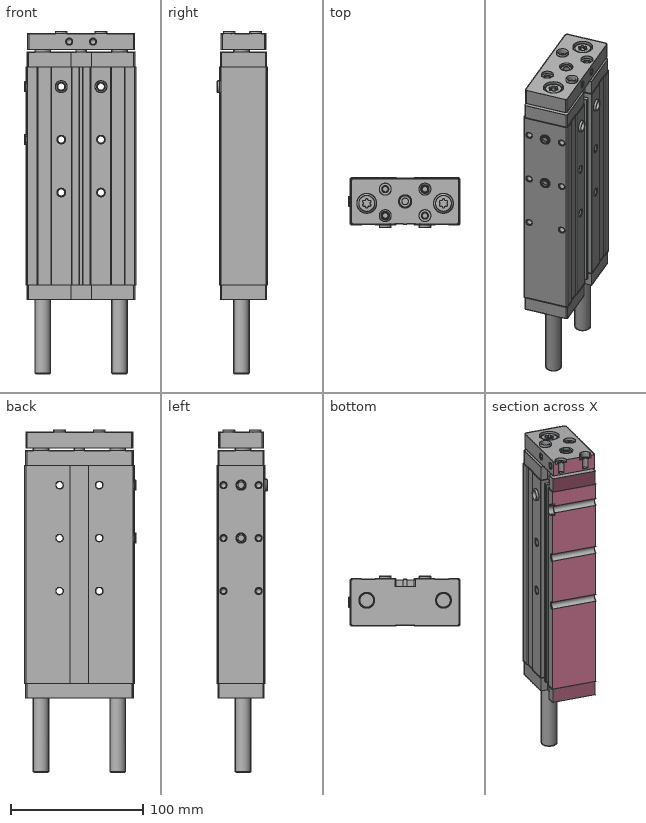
import cadquery as cq
import math


cap_height = 11.0
housing_height = 165.0
plate_gap = 2.0
plate_height = 12.0
rod_overhang = 56.0
housing_bottom = cap_height
housing_top = housing_bottom + housing_height
upper_cap_top = housing_top + cap_height
plate_bottom = upper_cap_top + plate_gap
plate_top = plate_bottom + plate_height

housing_width, housing_depth = 83.0, 36.0
cap_width, cap_depth = 81.5, 35.0
plate_width, plate_depth = 81.0, 34.0
edge_chamfer = 1.0
housing_front = -housing_depth / 2
housing_side = -housing_width / 2

cap_notch_width, cap_notch_depth = 15.5, 5.5
channel_width, channel_depth = 13.8, 7.0
channel_mouth_chamfer = 0.4
rib_width, rib_setback = 3.0, 0.6
rib_edge_chamfer = 0.4
back_channel_width, back_channel_depth = 14.0, 1.0
recess_inner_x, recess_outer_x = 22.3, 33.2
recess_depth = 1.0
recess_slope = 0.5

rod_diameter = 12.0
rod_spacing = 58.0
rod_y = -1.5
rod_end_chamfer = 0.8
rod_points = [(-rod_spacing / 2, rod_y), (rod_spacing / 2, rod_y)]
piston_rod_diameter = 8.0
head_well_diameter = 15.0
head_well_depth = 2.5
head_shoulder_diameter, head_shoulder_rise = 12.8, 1.2
head_top_diameter, head_rise = 12.0, 1.5
socket_core_diameter = 5.2
socket_lobe_diameter = 1.8
socket_lobes = 6
socket_depth = 2.0
piston_well_diameter = 10.0
piston_well_neck_diameter = 8.5
piston_well_depth = 2.0
piston_socket_diameter = 5.0
piston_socket_depth = 5.0

sleeve_diameter, sleeve_bore = 9.0, 6.5
sleeve_length, sleeve_projection = 4.0, 1.8
sleeve_seat_depth = sleeve_length - sleeve_projection
mount_x = 15.0
mount_hole_diameter = 5.3
mount_countersink_diameter = 6.5
mount_rows = 3
mount_pitch = 40.0
top_mount_z = housing_top - 15.0
mount_heights = [top_mount_z - row * mount_pitch for row in range(mount_rows)]
plate_hole_spacing_y = 20.0
plate_hole_y = -0.75
plate_back_y = plate_hole_y + plate_hole_spacing_y / 2
plate_front_y = plate_hole_y - plate_hole_spacing_y / 2

tapped_diameter = 4.13
tapped_mouth_diameter = 5.3
tapped_depth = 8.0
drill_tip_angle = 118.0
side_hole_y = 13.3
plate_side_hole_x = 9.0

plug_diameter = 7.7
plug_socket_diameter = 5.0
plug_socket_depth = 2.0
plug_projection = 1.29
plug_edge_chamfer = 0.4
plug_shank_diameter = 7.0
plug_length = 5.0
plug_heights = mount_heights[:2]


def block(width, depth, bottom, height):
    """Upright block centred on the piston axis, with chamfered upright edges."""
    body = cq.Workplane("XY", origin=(0, 0, bottom)).rect(width, depth).extrude(height)
    return body.edges("|Z").chamfer(edge_chamfer)


def box_between(x0, x1, y0, y1, z0, z1):
    """Box between two opposite corners."""
    return cq.Workplane("XY").box(x1 - x0, y1 - y0, z1 - z0, centered=False).translate((x0, y0, z0))


def axial_plane(origin, direction):
    """Plane holding the axis through origin along direction, with that axis as its local Y."""
    across = (0, 0, 1) if direction[2] == 0 else (-1, 0, 0)
    normal = cq.Vector(across).cross(cq.Vector(direction))
    return cq.Plane(origin=origin, xDir=across, normal=normal)


def revolved(profile, origin, direction):
    """Solid turned from (radius, height) points about the axis through origin along direction."""
    section = cq.Workplane(axial_plane(origin, direction)).polyline(profile).close()
    return section.revolve(360, (0, 0), (0, 1))


def rod(diameter, point, bottom, top):
    """Plain upright rod."""
    return cq.Workplane("XY", origin=(*point, bottom)).circle(diameter / 2).extrude(top - bottom)


def tapped_hole(origin, direction, pointed=True):
    """Cutter for a blind hole with a countersunk mouth and a drill tip or flat floor, along direction."""
    radius = tapped_diameter / 2
    mouth = tapped_mouth_diameter / 2
    tip = radius / math.tan(math.radians(drill_tip_angle / 2)) if pointed else 0
    profile = [
        (0, 0),
        (mouth, 0),
        (radius, mouth - radius),
        (radius, tapped_depth),
        (0, tapped_depth + tip),
    ]
    return revolved(profile, origin, direction)


def sleeve(origin, direction):
    """Locating sleeve standing out of the face at origin along direction."""
    outer, inner = sleeve_diameter / 2, sleeve_bore / 2
    end_radius = (outer - inner) / 2
    length = sleeve_length - end_radius
    section = cq.Workplane(axial_plane(origin, direction)).moveTo(inner, -sleeve_seat_depth)
    section = section.hLineTo(outer).vLine(length)
    crest = (outer - end_radius, sleeve_projection)
    section = section.threePointArc(crest, (inner, sleeve_projection - end_radius))
    return section.close().revolve(360, (0, 0), (0, 1))


def port_plug(height):
    """Stepped plug in the -X side: a chamfered, socketed head outside and a shank inside."""
    head, shank, hollow = plug_diameter / 2, plug_shank_diameter / 2, plug_socket_diameter / 2
    socket_floor = plug_projection - plug_socket_depth
    profile = [
        (0, -plug_length),
        (shank, -plug_length),
        (shank, 0),
        (head, 0),
        (head, plug_projection - plug_edge_chamfer),
        (head - plug_edge_chamfer, plug_projection),
        (hollow, plug_projection),
        (hollow, socket_floor),
        (0, socket_floor),
    ]
    return revolved(profile, (housing_side, 0, height), (-1, 0, 0))


def cap(bottom):
    """End cap with a central notch in its front and bores for the guide rods."""
    top = bottom + cap_height
    front = -cap_depth / 2
    half_notch = cap_notch_width / 2
    body = block(cap_width, cap_depth, bottom, cap_height)
    body = body.cut(box_between(-half_notch, half_notch, front, front + cap_notch_depth, bottom, top))
    for point in rod_points:
        body = body.cut(rod(rod_diameter, point, bottom, top))
    return body


def side_recess(side):
    """Shallow full-length recess in the housing front, with sloped flanks; side is -1 or 1."""
    floor = housing_front + recess_depth
    profile = [
        (side * recess_inner_x, housing_front),
        (side * (recess_inner_x + recess_slope), floor),
        (side * (recess_outer_x - recess_slope), floor),
        (side * recess_outer_x, housing_front),
    ]
    plane = cq.Workplane("XY", origin=(0, 0, housing_bottom))
    return plane.polyline(profile).close().extrude(housing_height)


def make_housing():
    body = block(housing_width, housing_depth, housing_bottom, housing_height)

    half_channel, half_rib, half_back = channel_width / 2, rib_width / 2, back_channel_width / 2
    span = (housing_bottom, housing_top)
    channel_floor = housing_front + channel_depth
    channel = box_between(-half_channel, half_channel, housing_front, channel_floor, *span)
    rib = box_between(-half_rib, half_rib, housing_front + rib_setback, channel_floor, *span)
    rib = rib.edges("|Z and <Y").chamfer(rib_edge_chamfer)
    body = body.cut(channel.cut(rib))
    for side in (-1, 1):
        mouth = [
            (side * half_channel, housing_front),
            (side * (half_channel + channel_mouth_chamfer), housing_front),
            (side * half_channel, housing_front + channel_mouth_chamfer),
        ]
        corner = cq.Workplane("XY", origin=(0, 0, housing_bottom)).polyline(mouth).close()
        body = body.cut(corner.extrude(housing_height))
    back = -housing_front
    body = body.cut(box_between(-half_back, half_back, back - back_channel_depth, back, *span))
    for side in (-1, 1):
        body = body.cut(side_recess(side))

    for point in rod_points:
        body = body.cut(rod(rod_diameter, point, *span))
    body = body.cut(rod(piston_rod_diameter, (0, 0), *span))

    hole, mouth = mount_hole_diameter / 2, mount_countersink_diameter / 2
    for height in mount_heights:
        for x in (-mount_x, mount_x):
            profile = [(0, 0), (mouth, 0), (hole, mouth - hole), (hole, housing_depth), (0, housing_depth)]
            body = body.cut(revolved(profile, (x, housing_front, height), (0, 1, 0)))
    for x in (-mount_x, mount_x):
        seat = cq.Workplane("XZ", origin=(x, housing_front, top_mount_z)).circle(sleeve_diameter / 2)
        body = body.cut(seat.extrude(-sleeve_seat_depth))

    for height in mount_heights:
        for y in (-side_hole_y, side_hole_y):
            body = body.cut(tapped_hole((housing_side, y, height), (1, 0, 0)))
    for height in plug_heights:
        port = cq.Workplane("YZ", origin=(housing_side, 0, height)).circle(plug_shank_diameter / 2)
        body = body.cut(port.extrude(plug_length))
    return body


def screw_head(point):
    """Chamfered screw head at the bottom of its well in the plate, with a six-lobed socket."""
    floor = plate_top - head_well_depth
    profile = [
        (0, 0),
        (head_well_diameter / 2, 0),
        (head_shoulder_diameter / 2, head_shoulder_rise),
        (head_top_diameter / 2, head_rise),
        (0, head_rise),
    ]
    return revolved(profile, (*point, floor), (0, 0, 1))


def socket(point):
    """Cutter for the six-lobed socket of a screw head."""
    bottom = plate_top - head_well_depth + head_rise - socket_depth
    cutter = rod(socket_core_diameter, point, bottom, plate_top)
    for lobe in range(socket_lobes):
        angle = 2 * math.pi * (lobe + 0.5) / socket_lobes
        x = point[0] + socket_core_diameter / 2 * math.cos(angle)
        y = point[1] + socket_core_diameter / 2 * math.sin(angle)
        cutter = cutter.union(rod(socket_lobe_diameter, (x, y), bottom, plate_top))
    return cutter


def make_yoke():
    """Front plate in one piece with the guide rods, their screw heads and the piston rod."""
    body = block(plate_width, plate_depth, plate_bottom, plate_height)

    for point in rod_points:
        guide = rod(rod_diameter, point, -rod_overhang, plate_bottom)
        body = body.union(guide.faces("<Z").chamfer(rod_end_chamfer))
        body = body.cut(rod(head_well_diameter, point, plate_top - head_well_depth, plate_top))
        body = body.union(screw_head(point)).cut(socket(point))

    body = body.union(rod(piston_rod_diameter, (0, 0), housing_bottom, plate_bottom))
    well, neck = piston_well_diameter / 2, piston_well_neck_diameter / 2
    profile = [
        (0, 0),
        (well, 0),
        (neck, well - neck),
        (neck, piston_well_depth),
        (0, piston_well_depth),
    ]
    body = body.cut(revolved(profile, (0, 0, plate_top), (0, 0, -1)))
    body = body.cut(rod(piston_socket_diameter, (0, 0), plate_top - piston_socket_depth, plate_top))

    for x in (-mount_x, mount_x):
        for y in (plate_front_y, plate_back_y):
            body = body.cut(rod(sleeve_diameter, (x, y), plate_top - sleeve_seat_depth, plate_top))
            body = body.cut(tapped_hole((x, y, plate_top - sleeve_seat_depth), (0, 0, -1), pointed=False))
    middle = plate_bottom + plate_height / 2
    for x in (-plate_side_hole_x, plate_side_hole_x):
        body = body.cut(tapped_hole((x, -plate_depth / 2, middle), (0, 1, 0)))
    return body


housing = make_housing()
lower_cap = cap(0)
upper_cap = cap(housing_top).cut(rod(piston_rod_diameter, (0, 0), housing_top, upper_cap_top))
yoke = make_yoke()
housing_sleeves = [sleeve((x, housing_front, top_mount_z), (0, -1, 0)) for x in (-mount_x, mount_x)]
plate_sleeves = [
    sleeve((-mount_x, plate_front_y, plate_top), (0, 0, 1)),
    sleeve((mount_x, plate_back_y, plate_top), (0, 0, 1)),
]
plugs = [port_plug(height) for height in plug_heights]

bodies = [housing, lower_cap, upper_cap, yoke, *housing_sleeves, *plate_sleeves, *plugs]
result = cq.Compound.makeCompound([body.val() for body in bodies])